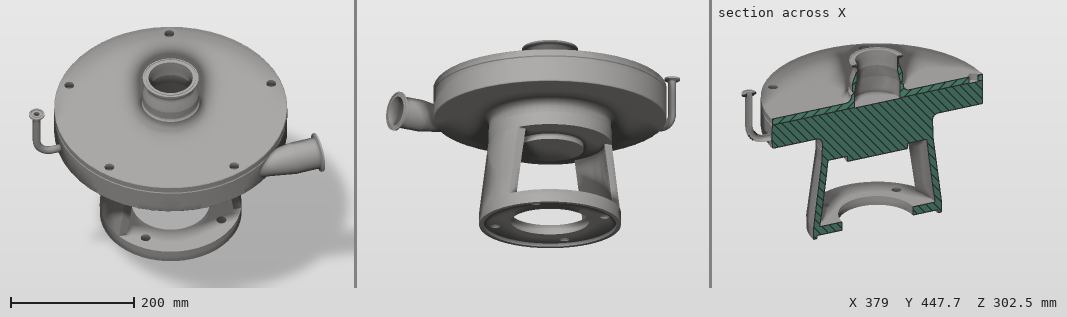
import cadquery as cq
import math


base_top = 21.5
hub_bottom = 129.0
adapter_bottom = 138.5
adapter_top = 160.0
casing_bottom = 182.0
joint_height = 224.5
cover_top = 236.5
suction_face = 302.5

disc_radius = 189.5
joint_chamfer = 1.2
cover_top_chamfer = 1.0
casing_bottom_fillet = 2.0
bolt_circle_radius = 172.5
bolt_hole_radius = 8.0
bolt_count = 5
bolt_start_angle = 90.0

rim_thickness = 2.85
taper_depth = 5.0
neck_length = 1.6
flange_depth = taper_depth + neck_length
taper_fillet = 1.6
gasket_groove_depth = 1.2

suction_flange_radius = 45.5
suction_pipe_radius = 38.4
suction_bore_radius = 36.0
suction_groove_inner = 40.3
suction_groove_outer = 43.5
reducer_top = 288.0
sleeve_top = 267.5
sleeve_bottom = 254.5
sleeve_radius = suction_flange_radius
sleeve_bore_radius = 40.5
reducer_middle_height = (reducer_top + sleeve_top) / 2
bore_flare_top = 274.5
bore_flare_bottom = 253.0
bore_flare_middle_height = (bore_flare_top + bore_flare_bottom) / 2
reducer_bulge = 0.8
weld_radius = 43.0
weld_top = 253.0
weld_bottom = 251.5
boss_radius = 47.1
boss_chamfer_bottom = 248.2
boss_fillet = 9.8

neck_radius = 99.4
neck_fillet = 10.0
adapter_radius = 100.4
hub_radius = 54.7
base_radius = 115.3
base_bore_radius = 63.5
register_radius = 107.95
register_depth = 5.6
leg_width = 96.0
leg_wall = 12.0
base_bolt_circle_radius = 92.0
base_hole_radius = 8.0
base_bolt_count = 4
base_bolt_start_angle = 45.0

port_height = (casing_bottom + joint_height) / 2

discharge_x = 145.0
discharge_face_y = 205.0
discharge_flange_radius = 32.0
discharge_pipe_radius = 25.8
discharge_groove_inner = 26.5
discharge_groove_outer = 30.0
discharge_wall = 2.0
discharge_straight = 45.0
discharge_cone_length = 100.0
discharge_cone_end_radius = 12.0

drain_y = -230.0
drain_face = 292.0
drain_flange_radius = 12.7
drain_pipe_radius = 6.35
drain_bore_radius = 4.8
drain_groove_inner = 8.1
drain_groove_outer = 10.2
drain_bend_radius = 28.5
drain_embed = 8.0


def disc(radius, bottom, top):
    """Round disc on the pump axis between two heights."""
    return cq.Workplane("XY").workplane(offset=bottom).circle(radius).extrude(top - bottom)


def revolve_about_z(profile):
    """Turn a closed profile, drawn as radius and height, about the Z axis."""
    return profile.close().revolve(360, (0, 0, 0), (0, 1, 0))


def gasket_groove(inner_radius, outer_radius):
    """Ring to cut into a clamp face that lies at Z = 0 and looks up."""
    ring = cq.Workplane("XY").circle(outer_radius).circle(inner_radius)
    return ring.extrude(-gasket_groove_depth)


def clamp_flange(flange_radius, pipe_radius, bore_radius, groove_inner, groove_outer):
    """Clamp flange with its face at Z = 0, looking up; the rim tapers to a short neck."""
    profile = (
        cq.Workplane("XZ")
        .moveTo(bore_radius, 0)
        .lineTo(flange_radius, 0)
        .lineTo(flange_radius, -rim_thickness)
        .lineTo(pipe_radius, -taper_depth)
        .lineTo(pipe_radius, -flange_depth)
        .lineTo(bore_radius, -flange_depth)
    )
    taper_end = cq.selectors.NearestToPointSelector((0, 0, -taper_depth))
    flange = revolve_about_z(profile).edges(taper_end).fillet(taper_fillet)
    return flange.cut(gasket_groove(groove_inner, groove_outer))


def suction_neck():
    """Tube, bulged reducer, sleeve, weld neck and filleted boss on top of the cover."""
    mid_outer = (suction_pipe_radius + sleeve_radius) / 2 + reducer_bulge
    mid_inner = (suction_bore_radius + sleeve_bore_radius) / 2 + reducer_bulge
    fillet_center_radius = boss_radius + boss_fillet
    fillet_center_height = cover_top + boss_fillet
    fillet_reach = boss_fillet * math.cos(math.radians(45))
    profile = (
        cq.Workplane("XZ")
        .moveTo(suction_bore_radius, suction_face - flange_depth)
        .lineTo(suction_pipe_radius, suction_face - flange_depth)
        .lineTo(suction_pipe_radius, reducer_top)
        .threePointArc((mid_outer, reducer_middle_height), (sleeve_radius, sleeve_top))
        .lineTo(sleeve_radius, sleeve_bottom)
        .lineTo(weld_radius, weld_top)
        .lineTo(weld_radius, weld_bottom)
        .lineTo(boss_radius, boss_chamfer_bottom)
        .lineTo(boss_radius, fillet_center_height)
        .threePointArc(
            (fillet_center_radius - fillet_reach, fillet_center_height - fillet_reach),
            (fillet_center_radius, cover_top),
        )
        .lineTo(sleeve_bore_radius, cover_top)
        .lineTo(sleeve_bore_radius, bore_flare_bottom)
        .threePointArc((mid_inner, bore_flare_middle_height), (suction_bore_radius, bore_flare_top))
    )
    flange = clamp_flange(
        suction_flange_radius,
        suction_pipe_radius,
        suction_bore_radius,
        suction_groove_inner,
        suction_groove_outer,
    )
    return revolve_about_z(profile).union(flange.translate((0, 0, suction_face)))


def make_cover():
    """Cover plate with five bolt holes, carrying the suction neck."""
    plate = disc(disc_radius, joint_height, cover_top)
    plate = plate.faces(">Z").edges().chamfer(cover_top_chamfer)
    plate = plate.faces("<Z").edges().chamfer(joint_chamfer)
    bolt_holes = (
        cq.Workplane("XY")
        .workplane(offset=joint_height)
        .polarArray(bolt_circle_radius, bolt_start_angle, 360, bolt_count)
        .circle(bolt_hole_radius)
        .extrude(cover_top - joint_height)
    )
    suction_bore = disc(sleeve_bore_radius, joint_height, cover_top)
    return plate.cut(bolt_holes).cut(suction_bore).union(suction_neck())


def casing():
    """Casing disc with the neck, adapter ring and hub below it."""
    body = disc(disc_radius, casing_bottom, joint_height)
    body = body.faces(">Z").edges().chamfer(joint_chamfer)
    body = body.faces("<Z").edges().fillet(casing_bottom_fillet)
    fillet_center_radius = neck_radius + neck_fillet
    fillet_center_height = casing_bottom - neck_fillet
    fillet_reach = neck_fillet * math.cos(math.radians(45))
    neck_profile = (
        cq.Workplane("XZ")
        .moveTo(0, adapter_top)
        .lineTo(neck_radius, adapter_top)
        .lineTo(neck_radius, fillet_center_height)
        .threePointArc(
            (fillet_center_radius - fillet_reach, fillet_center_height + fillet_reach),
            (fillet_center_radius, casing_bottom),
        )
        .lineTo(0, casing_bottom)
    )
    adapter = disc(adapter_radius, adapter_bottom, adapter_top)
    hub = disc(hub_radius, hub_bottom, adapter_bottom)
    return body.union(revolve_about_z(neck_profile)).union(adapter).union(hub)


def legs():
    """Two legs: strips of a conical wall at the front and back."""
    wall_profile = (
        cq.Workplane("XZ")
        .moveTo(base_radius, base_top)
        .lineTo(adapter_radius, adapter_bottom)
        .lineTo(adapter_radius - leg_wall, adapter_bottom)
        .lineTo(base_radius - leg_wall, base_top)
    )
    strip = (
        cq.Workplane("XY")
        .workplane(offset=base_top)
        .rect(leg_width, 2 * base_radius)
        .extrude(adapter_bottom - base_top)
    )
    return revolve_about_z(wall_profile).intersect(strip)


def base_ring():
    """Mounting ring with four bolt holes and a shallow motor register in its underside."""
    holes = (
        cq.Workplane("XY")
        .polarArray(base_bolt_circle_radius, base_bolt_start_angle, 360, base_bolt_count)
        .circle(base_hole_radius)
        .extrude(base_top)
    )
    bore = disc(base_bore_radius, 0, base_top)
    motor_register = disc(register_radius, 0, register_depth)
    return disc(base_radius, 0, base_top).cut(bore).cut(motor_register).cut(holes)


def discharge():
    """Discharge pipe toward +Y: clamp flange, straight tube and a taper into the casing."""
    bore_radius = discharge_pipe_radius - discharge_wall
    cone_start = -discharge_straight
    cone_end = cone_start - discharge_cone_length
    pipe_profile = (
        cq.Workplane("XZ")
        .moveTo(bore_radius, -flange_depth)
        .lineTo(discharge_pipe_radius, -flange_depth)
        .lineTo(discharge_pipe_radius, cone_start)
        .lineTo(discharge_cone_end_radius, cone_end)
        .lineTo(discharge_cone_end_radius - discharge_wall, cone_end)
        .lineTo(bore_radius, cone_start)
    )
    flange = clamp_flange(
        discharge_flange_radius,
        discharge_pipe_radius,
        bore_radius,
        discharge_groove_inner,
        discharge_groove_outer,
    )
    upright = revolve_about_z(pipe_profile).union(flange)
    facing_back = upright.rotate((0, 0, 0), (1, 0, 0), -90)
    return facing_back.translate((discharge_x, discharge_face_y, port_height))


def drain():
    """Small pipe from the front of the casing, bent upward to a clamp flange."""
    bend_start_y = drain_y + drain_bend_radius
    bend_end_z = port_height + drain_bend_radius
    bend_reach = drain_bend_radius * math.sin(math.radians(45))
    path = (
        cq.Workplane("YZ")
        .moveTo(drain_y, drain_face - flange_depth)
        .lineTo(drain_y, bend_end_z)
        .threePointArc((bend_start_y - bend_reach, bend_end_z - bend_reach), (bend_start_y, port_height))
        .lineTo(drain_embed - disc_radius, port_height)
    )
    pipe = (
        cq.Workplane("XY", origin=(0, drain_y, drain_face - flange_depth))
        .circle(drain_pipe_radius)
        .circle(drain_bore_radius)
        .sweep(path)
    )
    flange = clamp_flange(
        drain_flange_radius,
        drain_pipe_radius,
        drain_bore_radius,
        drain_groove_inner,
        drain_groove_outer,
    )
    return pipe.union(flange.translate((0, drain_y, drain_face)))


def make_housing():
    """Casing with its stand, discharge and drain in one piece."""
    return casing().union(legs()).union(base_ring()).union(discharge()).union(drain())


cover = make_cover()
housing = make_housing()

result = cq.Compound.makeCompound([cover.val(), housing.val()])